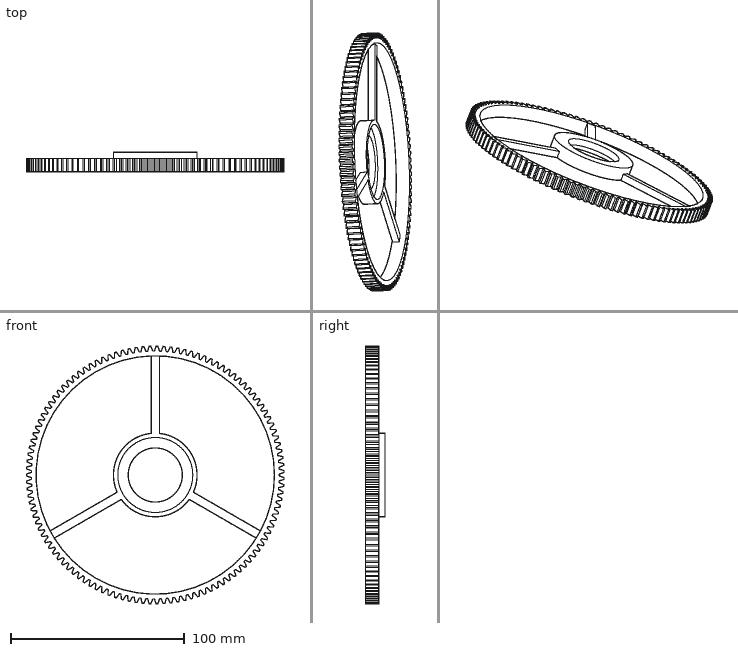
import cadquery as cq
import math

TOOTH_COUNT = 115
OUTER_DIAMETER = 148.6
PRESSURE_ANGLE = math.radians(20)
RIM_WIDTH = 7.9
RIM_BORE_DIAMETER = 137.1

OVERALL_WIDTH = 11.5
HUB_SETBACK = 3.5
HUB_DIAMETER = 48.3
HUB_BORE_DIAMETER = 31.0
COUNTERBORE_DIAMETER = 43.2
COUNTERBORE_DEPTH = 4.0

SPOKE_COUNT = 3
SPOKE_WIDTH = 4.9
SPOKE_THICKNESS = 4.0

ADDENDUM_FACTOR = 1.0
DEDENDUM_FACTOR = 1.25
module = OUTER_DIAMETER / (TOOTH_COUNT + 2 * ADDENDUM_FACTOR)
pitch_radius = module * TOOTH_COUNT / 2
base_radius = pitch_radius * math.cos(PRESSURE_ANGLE)
tip_radius = OUTER_DIAMETER / 2
root_radius = pitch_radius - DEDENDUM_FACTOR * module
mid_flank_radius = (tip_radius + root_radius) / 2
tooth_pitch_angle = 2 * math.pi / TOOTH_COUNT

hub_length = OVERALL_WIDTH - HUB_SETBACK
rim_bore_radius = RIM_BORE_DIAMETER / 2
rim_middle_radius = (rim_bore_radius + root_radius) / 2


def polar(radius, angle):
    return radius * math.cos(angle), radius * math.sin(angle)


def involute_angle(radius):
    """Polar angle of the involute curve where it reaches the given radius."""
    roll = math.acos(base_radius / radius)
    return math.tan(roll) - roll


def half_tooth_angle(radius):
    """Half the angle a tooth spans at the given radius."""
    return tooth_pitch_angle / 4 + involute_angle(pitch_radius) - involute_angle(radius)


def plane_at(depth):
    """Plane facing -Y, at the given distance behind the rim's front face."""
    return cq.Workplane("XZ", origin=(0, depth, 0))


def disc(diameter, start, length):
    return plane_at(start).circle(diameter / 2).extrude(-length)


def toothed_rim():
    root_half = half_tooth_angle(root_radius)
    mid_half = half_tooth_angle(mid_flank_radius)
    tip_half = half_tooth_angle(tip_radius)

    outline = plane_at(0).moveTo(*polar(root_radius, math.pi - root_half))
    for index in range(TOOTH_COUNT):
        centre = math.pi + index * tooth_pitch_angle
        gap_centre = centre + tooth_pitch_angle / 2
        next_root = centre + tooth_pitch_angle - root_half
        outline = (
            outline
            .threePointArc(
                polar(mid_flank_radius, centre - mid_half),
                polar(tip_radius, centre - tip_half),
            )
            .threePointArc(
                polar(tip_radius, centre),
                polar(tip_radius, centre + tip_half),
            )
            .threePointArc(
                polar(mid_flank_radius, centre + mid_half),
                polar(root_radius, centre + root_half),
            )
            .threePointArc(
                polar(root_radius, gap_centre),
                polar(root_radius, next_root),
            )
        )
    blank = outline.close().extrude(-RIM_WIDTH)
    return blank.cut(disc(RIM_BORE_DIAMETER, 0, RIM_WIDTH))


def spoke(angle):
    """Bar from the axis into the rim, turned from +Z by an angle in degrees."""
    bar = (
        plane_at(HUB_SETBACK)
        .center(0, rim_middle_radius / 2)
        .rect(SPOKE_WIDTH, rim_middle_radius)
        .extrude(-SPOKE_THICKNESS)
    )
    return bar.rotate((0, 0, 0), (0, 1, 0), angle)


result = toothed_rim().union(disc(HUB_DIAMETER, HUB_SETBACK, hub_length))
for index in range(SPOKE_COUNT):
    result = result.union(spoke(index * 360 / SPOKE_COUNT))

result = result.cut(disc(HUB_BORE_DIAMETER, HUB_SETBACK, hub_length))
result = result.cut(disc(COUNTERBORE_DIAMETER, HUB_SETBACK, COUNTERBORE_DEPTH))